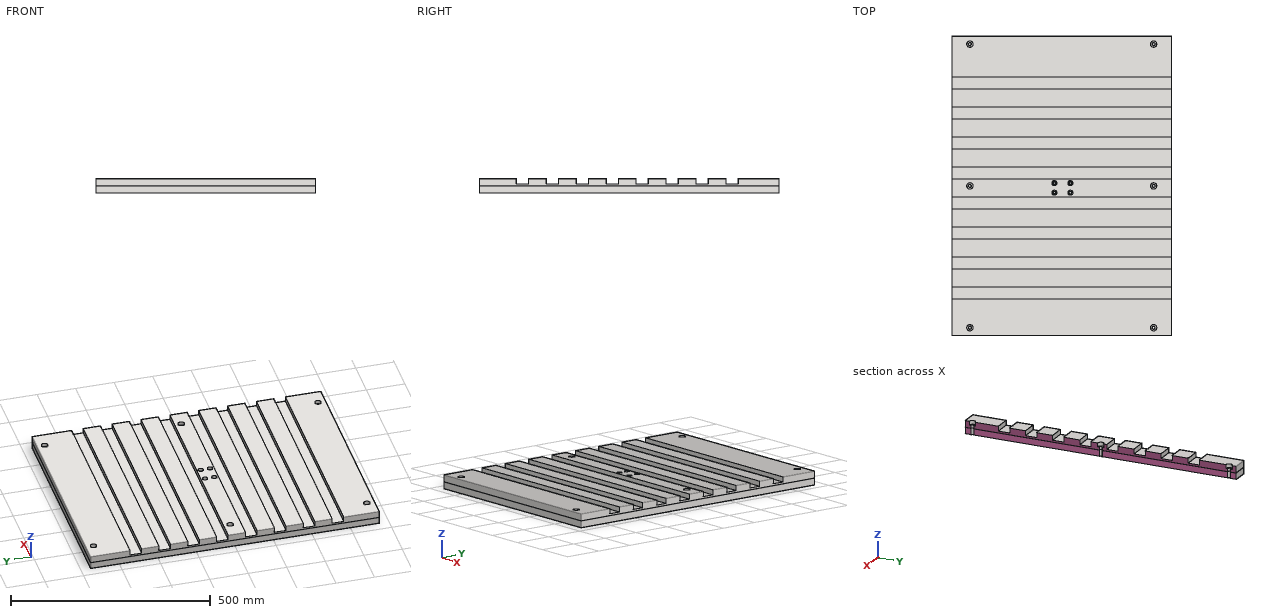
import cadquery as cq

length_x = 550
width_y = 750
plate_thickness = 18
edge_radius = 0.5
interface_z = 0
top_z = interface_z + plate_thickness
bottom_z = interface_z - plate_thickness

slot_count = 8
slot_pitch = 75
slot_width = 30
slot_depth = 13
slot_pattern_y = -5

mount_spacing_x = 460
mount_spacing_y = 355
mount_hole_diameter = 7
mount_head_diameter = 15.9
mount_head_depth = 10

center_spacing_x = 40
center_spacing_y = 24
center_pattern_x = 1.5
center_pattern_y = slot_pattern_y
center_hole_diameter = 6
center_head_diameter = 12.7
center_head_depth = 10


def plate(base_z):
    """Rectangular plate with every outer edge rounded."""
    return (
        cq.Workplane("XY", origin=(0, 0, base_z))
        .box(length_x, width_y, plate_thickness, centered=(True, True, False))
        .edges()
        .fillet(edge_radius)
    )


def mount_positions(workplane):
    return workplane.rarray(mount_spacing_x, mount_spacing_y, 2, 3)


def center_positions(workplane):
    return workplane.center(center_pattern_x, center_pattern_y).rarray(
        center_spacing_x, center_spacing_y, 2, 2
    )


def make_lower_plate():
    """Plain plate with the through holes."""
    base_plane = cq.Workplane("XY", origin=(0, 0, bottom_z))
    mount_holes = mount_positions(base_plane).circle(mount_hole_diameter / 2).extrude(plate_thickness)
    center_holes = center_positions(base_plane).circle(center_hole_diameter / 2).extrude(plate_thickness)
    return plate(bottom_z).cut(mount_holes).cut(center_holes)


def make_upper_plate():
    """Plate with parallel slots, each square-edged, and counterbored holes."""
    slots = (
        cq.Workplane("XY", origin=(0, slot_pattern_y, top_z - slot_depth))
        .rarray(length_x, slot_pitch, 1, slot_count)
        .rect(length_x, slot_width)
        .extrude(slot_depth)
    )
    body = plate(interface_z).cut(slots)
    top_plane = cq.Workplane("XY", origin=(0, 0, top_z))
    body = mount_positions(body.copyWorkplane(top_plane)).cboreHole(
        mount_hole_diameter, mount_head_diameter, mount_head_depth
    )
    return center_positions(body.copyWorkplane(top_plane)).cboreHole(
        center_hole_diameter, center_head_diameter, center_head_depth
    )


lower_plate = make_lower_plate()
upper_plate = make_upper_plate()

result = cq.Compound.makeCompound([lower_plate.val(), upper_plate.val()])